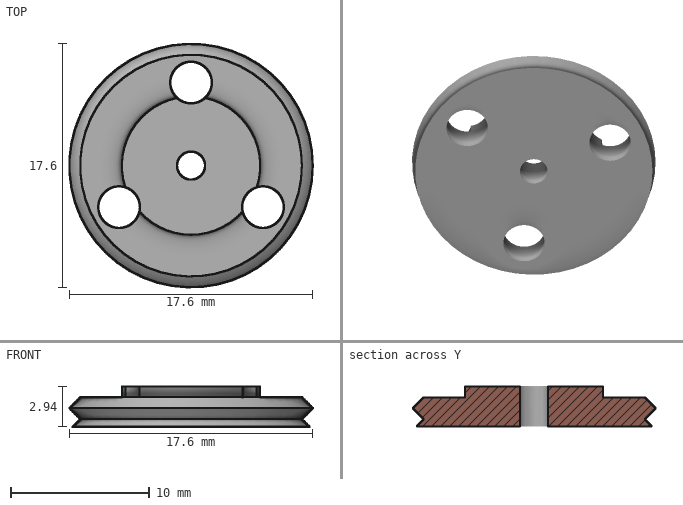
import cadquery as cq

rim_diameter = 17.6
total_height = 2.94
bevel = 0.8
boss_height = 0.8
boss_diameter = 10.0
center_hole_diameter = 2.0
mount_hole_diameter = 3.0
mount_hole_count = 3
mount_circle_radius = 6.0
first_mount_angle = 90.0

rim_radius = rim_diameter / 2
neck_radius = rim_radius - bevel
face_z = total_height - boss_height
rim_z = face_z - bevel
neck_z = rim_z - bevel
base_radius = neck_radius + neck_z


def make_disc():
    """Revolve the bevelled rim, the V-groove below it and the flared base."""
    return (
        cq.Workplane("XZ")
        .moveTo(0, 0)
        .lineTo(base_radius, 0)
        .lineTo(neck_radius, neck_z)
        .lineTo(rim_radius, rim_z)
        .lineTo(neck_radius, face_z)
        .lineTo(0, face_z)
        .close()
        .revolve(360, (0, 0, 0), (0, 1, 0))
    )


def make_boss():
    """Raised round boss on the upper face."""
    return cq.Workplane("XY").workplane(offset=face_z).circle(boss_diameter / 2).extrude(boss_height)


def make_center_hole():
    """Through bore on the axis."""
    return cq.Workplane("XY").circle(center_hole_diameter / 2).extrude(total_height)


def make_mount_holes():
    """Evenly spaced through holes that bite into the edge of the boss."""
    return (
        cq.Workplane("XY")
        .polarArray(mount_circle_radius, first_mount_angle, 360, mount_hole_count)
        .circle(mount_hole_diameter / 2)
        .extrude(total_height)
    )


result = make_disc().union(make_boss()).cut(make_center_hole()).cut(make_mount_holes())